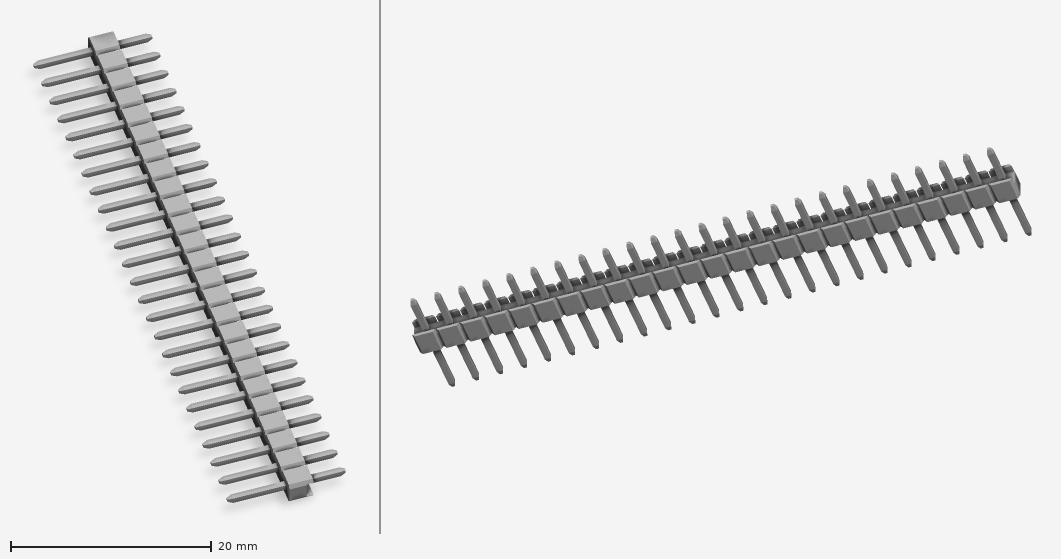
import cadquery as cq

pin_count = 25
pitch = 2.55
length = pin_count * pitch
height = 2.5
depth = pitch
chamfer_width = 0.305
chamfer_drop = 0.41

lip_thickness = 0.35
channel_depth = 0.75
channel_height = height - 2 * lip_thickness

pin_size = 0.65
pin_shift = -0.1
front_reach = 6.1
back_reach = 3.75
tip_size = 0.3
tip_length = 0.54
shaft_length = front_reach + depth + back_reach - 2 * tip_length


def row_of(shape, shift=0):
    """Union of one copy of the shape per cell, moved along X by the shift."""
    first_x = -(length - pitch) / 2 + shift
    row = shape.translate((first_x, 0, 0))
    for index in range(1, pin_count):
        row = row.union(shape.translate((first_x + index * pitch, 0, 0)))
    return row


def make_cell():
    """One eight-sided cell from Y = 0 to Y = depth."""
    side = pitch / 2
    top = height / 2
    flat = side - chamfer_width
    shoulder = top - chamfer_drop
    outline = [
        (-side, -shoulder),
        (-flat, -top),
        (flat, -top),
        (side, -shoulder),
        (side, shoulder),
        (flat, top),
        (-flat, top),
        (-side, shoulder),
    ]
    return cq.Workplane("XZ").polyline(outline).close().extrude(-depth)


def make_channel():
    """Groove cutter running the whole length, open to the back."""
    channel = cq.Workplane("XY").box(length, channel_depth, channel_height)
    return channel.translate((0, depth - channel_depth / 2, 0))


def make_tip(end_y, inward):
    """Taper from a small square at end_y to the full pin size; inward is +1 or -1 along Y."""
    return (
        cq.Workplane("XZ", origin=(0, end_y, 0))
        .rect(tip_size, tip_size)
        .workplane(offset=-inward * tip_length)
        .rect(pin_size, pin_size)
        .loft(ruled=True)
    )


def make_pin():
    """Square pin with a tapered tip at both ends."""
    shaft = (
        cq.Workplane("XZ", origin=(0, tip_length - front_reach, 0))
        .rect(pin_size, pin_size)
        .extrude(-shaft_length)
    )
    front_tip = make_tip(-front_reach, 1)
    back_tip = make_tip(depth + back_reach, -1)
    return shaft.union(front_tip).union(back_tip)


housing = row_of(make_cell()).cut(make_channel())
result = housing.union(row_of(make_pin(), pin_shift))